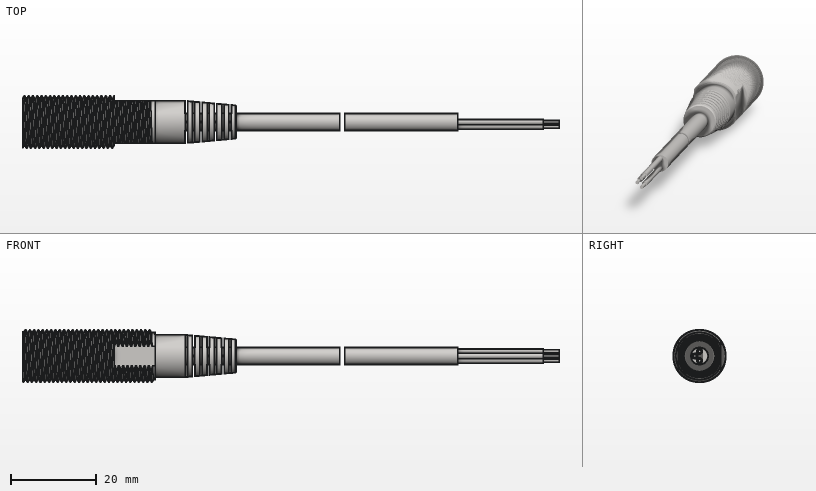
import cadquery as cq
import math


housing_end = 31.0
core_radius = 5.5
thread_radius = 6.1
thread_pitch = 1.0
thread_first_crest = -0.55
thread_turns = 31
thread_base = 0.9
thread_root_overlap = 0.06
flat_start = 21.5
flat_distance = 5.0

boot_radius = 5.0
boot_taper_start = 37.4
boot_end = 50.0
boot_end_radius = 3.9
boot_end_chamfer = 0.3
slot_count = 7
slot_width = 0.56
slot_spacing = 1.7
first_slot_start = 38.0
slot_web = 0.4

cable_radius = 2.0
stub_end = 74.2
cable_start = 75.3
cable_end = 101.8
wire_offset = 1.07
wire_radius = 0.6
wire_end = 121.7
strand_radius = 0.4
total_length = 125.5
wire_angles = (90, 180, 270)


def rod(radius, start, end, y=0.0, z=0.0):
    """Round bar along X."""
    return cq.Workplane("YZ", origin=(start, y, z)).circle(radius).extrude(end - start)


def slab(start, end, y_range, z_range):
    """Box given by its limits along X, Y and Z."""
    size = (end - start, y_range[1] - y_range[0], z_range[1] - z_range[0])
    corner = (start, y_range[0], z_range[0])
    return cq.Workplane("XY", origin=corner).box(*size, centered=False)


def thread_ridge(first_turn, turns):
    """Right-handed triangular ridge wound about X, its crest starting on the +Y side."""
    root_radius = core_radius - thread_root_overlap
    path = cq.Wire.makeHelix(thread_pitch, turns * thread_pitch, core_radius)
    ridge = (
        cq.Workplane("XZ")
        .polyline([
            (root_radius, -thread_base / 2),
            (thread_radius, 0),
            (root_radius, thread_base / 2),
        ])
        .close()
        .sweep(cq.Workplane(obj=path), isFrenet=True)
    )
    along_x = ridge.rotate((0, 0, 0), (1, 1, 1), 120)
    return along_x.translate((thread_first_crest + first_turn * thread_pitch, 0, 0))


def housing_envelope():
    """Space the housing may fill: behind the sensing face and between the wrench flats."""
    reach = 2 * thread_radius
    full = (-reach, reach)
    envelope = slab(0, housing_end, full, full)
    for y_range in ((flat_distance, reach), (-reach, -flat_distance)):
        envelope = envelope.cut(slab(flat_start, housing_end, y_range, full))
    return envelope


def threaded_housing():
    """Core with its thread, flush at the sensing face and cut by two wrench flats."""
    envelope = housing_envelope()
    core = rod(core_radius, 0, housing_end).intersect(envelope)
    first_whole = math.ceil((thread_base / 2 - thread_first_crest) / thread_pitch)
    first_flat = math.floor((flat_start - thread_base / 2 - thread_first_crest) / thread_pitch)
    whole_ridge = thread_ridge(first_whole, first_flat - first_whole)
    trimmed = []
    for turn in (*range(first_whole), *range(first_flat, thread_turns)):
        trimmed += thread_ridge(turn, 1).intersect(envelope).solids().vals()
    return cq.Workplane(core.union(whole_ridge).val().fuse(*trimmed))


def slot_pair(index):
    """Two opposed slots that leave a web and the cable; alternate pairs are a quarter turn apart."""
    start = first_slot_start + index * slot_spacing
    end = start + slot_width
    span = (-boot_radius, boot_radius)
    pair = slab(start, end, span, span)
    pair = pair.cut(slab(start, end, (-slot_web / 2, slot_web / 2), span))
    pair = pair.cut(rod(cable_radius, start, end))
    return pair.rotate((0, 0, 0), (1, 0, 0), 90 * (index % 2))


def strain_relief():
    """Plain collar and tapered boot with flexing slots."""
    boot = (
        cq.Workplane("XY")
        .polyline([
            (housing_end, 0),
            (housing_end, boot_radius),
            (boot_taper_start, boot_radius),
            (boot_end, boot_end_radius),
            (boot_end, 0),
        ])
        .close()
        .revolve(360, (0, 0, 0), (1, 0, 0))
        .faces(">X").edges().chamfer(boot_end_chamfer)
    )
    for index in range(slot_count):
        boot = boot.cut(slot_pair(index))
    return boot


def sensor_body():
    """Threaded housing, boot and the cable stub leaving it."""
    stub = rod(cable_radius, housing_end, stub_end)
    return threaded_housing().union(strain_relief()).union(stub)


def cable_tail_body():
    """Far length of cable with three insulated wires, stripped at their tips."""
    tail = rod(cable_radius, cable_start, cable_end)
    for angle in wire_angles:
        y = wire_offset * math.cos(math.radians(angle))
        z = wire_offset * math.sin(math.radians(angle))
        tail = tail.union(rod(wire_radius, cable_end, wire_end, y, z))
        tail = tail.union(rod(strand_radius, wire_end, total_length, y, z))
    return tail


sensor = sensor_body()
cable_tail = cable_tail_body()

result = cq.Compound.makeCompound([sensor.val(), cable_tail.val()])